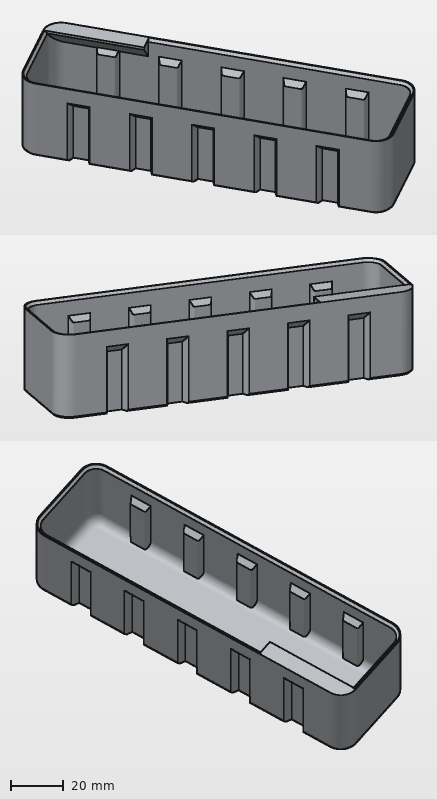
import cadquery as cq
import math

length = 146.0
width = 41.2
height = 33.7
wall = 1.6
corner_radius = 7.0
bottom_chamfer = 0.9

floor_thickness = 1.2
floor_fillet = 4.0
rim_chamfer = 1.2

groove_count = 5
groove_pitch = 24.5
groove_depth = 3.0
groove_mouth_width = 8.9
groove_bed_width = 6.0
groove_top = height - 6.5
rib_skin = 0.7

tab_length = 39.7
tab_reach = 7.0
tab_edge_thickness = 1.2
tab_support_drop = 6.7

front_face = -width / 2


def rounded_block(block_length, block_width, radius, bottom, top):
    """Upright block centred on the Z axis with rounded vertical edges."""
    block = cq.Workplane("XY").workplane(offset=bottom).rect(block_length, block_width)
    return block.extrude(top - bottom).edges("|Z").fillet(radius)


def tapered_key(mouth_width, tip_width, depth, bottom, top):
    """Upright key from the front face towards +Y, narrowing with depth, before its top is sloped."""
    tip_y = front_face + depth
    corners = [
        (-mouth_width / 2, front_face),
        (mouth_width / 2, front_face),
        (tip_width / 2, tip_y),
        (-tip_width / 2, tip_y),
    ]
    return cq.Workplane("XY").workplane(offset=bottom).polyline(corners).close().extrude(top - bottom)


def slope_top(key, top):
    """Trim a key with a 45 degree plane that falls towards +Y from the given height at the front face."""
    run = top
    waste = (
        cq.Workplane("YZ")
        .polyline([(front_face, top), (front_face + run, top), (front_face + run, top - run)])
        .close()
        .extrude(length / 2, both=True)
    )
    return key.cut(waste)


def groove():
    """Cutter for one groove, open at the bottom of the tray."""
    key = tapered_key(groove_mouth_width, groove_bed_width, groove_depth, 0, groove_top)
    return slope_top(key, groove_top)


def rib():
    """One rib, following the groove at the skin thickness with rounded tip edges."""
    side_run = (groove_mouth_width - groove_bed_width) / 2
    side_angle = math.atan2(side_run, groove_depth)
    side_growth = rib_skin / math.cos(side_angle)
    mouth_width = groove_mouth_width + 2 * side_growth
    depth = groove_depth + rib_skin
    tip_width = mouth_width - 2 * depth * math.tan(side_angle)
    top = groove_top + rib_skin * math.sqrt(2)
    key = tapered_key(mouth_width, tip_width, depth, floor_thickness, top)
    key = key.faces(">Y").edges("|Z").fillet(rib_skin)
    return slope_top(key, top)


def along_both_walls(key):
    """Copies of a front wall key at every groove position of the front and back walls."""
    copies = cq.Workplane("XY")
    for index in range(groove_count):
        x = (index - (groove_count - 1) / 2) * groove_pitch
        front = key.translate((x, 0, 0))
        copies = copies.add(front).add(front.mirror("XZ"))
    return copies.combine()


def cavity():
    """Inside of the tray, with a filleted floor and a chamfered opening."""
    inner_length = length - 2 * wall
    inner_width = width - 2 * wall
    inner_radius = corner_radius - wall
    pocket = rounded_block(inner_length, inner_width, inner_radius, floor_thickness, height)
    pocket = pocket.faces("<Z").edges().fillet(floor_fillet)
    flare = 2 * rim_chamfer
    opening = (
        cq.Workplane("XY")
        .workplane(offset=height)
        .sketch()
        .rect(inner_length + flare, inner_width + flare)
        .vertices()
        .fillet(inner_radius + rim_chamfer)
        .finalize()
        .extrude(-rim_chamfer, taper=45)
    )
    return pocket.union(opening)


def label_tab():
    """Ledge from the back wall with a sloped support below it, before trimming to the tray outline."""
    back_y = width / 2
    tab_y = back_y - tab_reach
    edge_bottom = height - tab_edge_thickness
    support_bottom = edge_bottom - tab_support_drop
    profile = [
        (back_y, height),
        (tab_y, height),
        (tab_y, edge_bottom),
        (back_y - wall, support_bottom),
        (back_y, support_bottom),
    ]
    start = cq.Workplane("YZ").workplane(offset=-length / 2)
    return start.polyline(profile).close().extrude(tab_length)


outline = rounded_block(length, width, corner_radius, 0, height)
body = outline.faces("<Z").edges().chamfer(bottom_chamfer)
tab = label_tab().intersect(outline)

result = body.cut(cavity()).union(tab).union(along_both_walls(rib())).cut(along_both_walls(groove()))